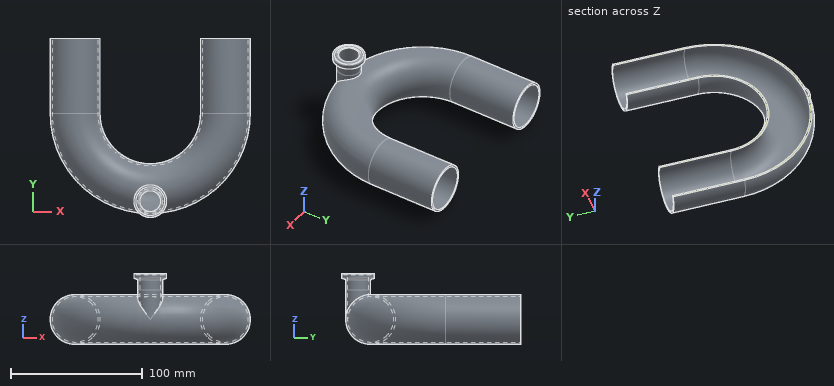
import cadquery as cq
import math

tube_od = 38.1
tube_id = 34.8
bend_radius = 57.15
leg_length = 57.15

port_od = 19.05
port_id = 15.75
port_y = -(bend_radius + tube_od / 2 - port_od / 2)
port_top = 34.93

ferrule_length = 12.7
flange_od = 24.99
rim_height = 3.35
back_slope = math.radians(20)
back_edge_round = 0.5
face_edge_round = 0.2
neck_round = 0.4

groove_od = 21.89
groove_depth = 1.05
groove_radius = 0.75
groove_lip_id = 17.6


def u_bar(diameter):
    """Solid round bar following the U-shaped centreline."""
    path = (
        cq.Workplane("XY")
        .moveTo(-bend_radius, leg_length)
        .lineTo(-bend_radius, 0)
        .threePointArc((0, -bend_radius), (bend_radius, 0))
        .lineTo(bend_radius, leg_length)
    )
    start = cq.Plane(origin=(-bend_radius, leg_length, 0), xDir=(1, 0, 0), normal=(0, -1, 0))
    return cq.Workplane(start).circle(diameter / 2).sweep(path)


def port_cylinder(diameter, top):
    """Vertical cylinder on the port axis, from the bend's centre plane up to top."""
    return cq.Workplane("XY").center(0, port_y).circle(diameter / 2).extrude(top)


def revolve_on_port(profile):
    """Revolve a closed (radius, height) profile about the port axis."""
    return profile.close().revolve(360, (0, 0, 0), (0, 1, 0))


def port_profile():
    """Radial half-plane through the port axis."""
    return cq.Workplane("XZ", origin=(0, port_y, 0))


def ferrule():
    """Solid ferrule: neck filleted into a sloped flange back, and a rim with rounded edges."""
    neck_radius = port_od / 2
    rim_radius = flange_od / 2
    rim_bottom = port_top - rim_height
    slope_start = rim_radius - back_edge_round * (1 - math.sin(back_slope))
    slope_top = rim_bottom - back_edge_round * math.cos(back_slope)
    slope_bottom = slope_top - (slope_start - neck_radius) * math.tan(back_slope)
    fillet_reach = neck_round * math.tan((math.pi / 2 - back_slope) / 2)
    fillet_end = (
        neck_radius + fillet_reach * math.cos(back_slope),
        slope_bottom + fillet_reach * math.sin(back_slope),
    )
    profile = (
        port_profile()
        .moveTo(0, port_top - ferrule_length)
        .lineTo(neck_radius, port_top - ferrule_length)
        .lineTo(neck_radius, slope_bottom - fillet_reach)
        .tangentArcPoint(fillet_end, relative=False)
        .lineTo(slope_start, slope_top)
        .tangentArcPoint((rim_radius, rim_bottom), relative=False)
        .lineTo(rim_radius, port_top - face_edge_round)
        .tangentArcPoint((rim_radius - face_edge_round, port_top), relative=False)
        .lineTo(0, port_top)
    )
    return revolve_on_port(profile)


def gasket_groove():
    """Groove ring: straight outer wall, round bottom and a convex lip level with the face."""
    outer_radius = groove_od / 2
    lip_edge = groove_lip_id / 2
    centre_radius = outer_radius - groove_radius
    wall_depth = groove_depth - groove_radius
    centre_height = port_top - wall_depth
    centre_spacing = centre_radius - lip_edge
    lip_radius = (centre_spacing**2 + wall_depth**2 - groove_radius**2) / (2 * (groove_radius + wall_depth))
    inward_angle = math.atan2(lip_radius - wall_depth, centre_spacing)
    inflection = (
        centre_radius - groove_radius * math.cos(inward_angle),
        centre_height - groove_radius * math.sin(inward_angle),
    )
    profile = (
        port_profile()
        .moveTo(outer_radius, port_top)
        .lineTo(outer_radius, centre_height)
        .threePointArc((centre_radius, port_top - groove_depth), inflection)
        .tangentArcPoint((lip_edge, port_top), relative=False)
    )
    return revolve_on_port(profile)


outside = u_bar(tube_od).union(port_cylinder(port_od, port_top - ferrule_length))
outside = outside.union(ferrule(), clean=False)
result = (
    outside.cut(u_bar(tube_id), clean=False)
    .cut(port_cylinder(port_id, port_top), clean=False)
    .cut(gasket_groove(), clean=False)
    .solids()
)